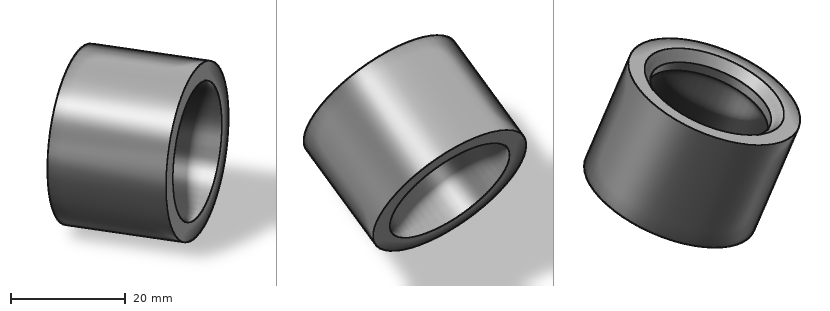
import cadquery as cq

length = 22.0
outer_diameter = 32.0
lip_diameter = 22.5
lip_width = 1.73
mouth_diameter = 26.0
seat_diameter = 25.0

front_x = -length / 2
back_x = length / 2
lip_front_x = front_x + (mouth_diameter - lip_diameter) / 2
lip_back_x = lip_front_x + lip_width

section = (
    cq.Workplane("XY")
    .moveTo(front_x, outer_diameter / 2)
    .lineTo(back_x, outer_diameter / 2)
    .lineTo(back_x, seat_diameter / 2)
    .lineTo(lip_back_x, seat_diameter / 2)
    .lineTo(lip_back_x, lip_diameter / 2)
    .lineTo(lip_front_x, lip_diameter / 2)
    .lineTo(front_x, mouth_diameter / 2)
    .close()
)

result = section.revolve(360, (0, 0, 0), (1, 0, 0))